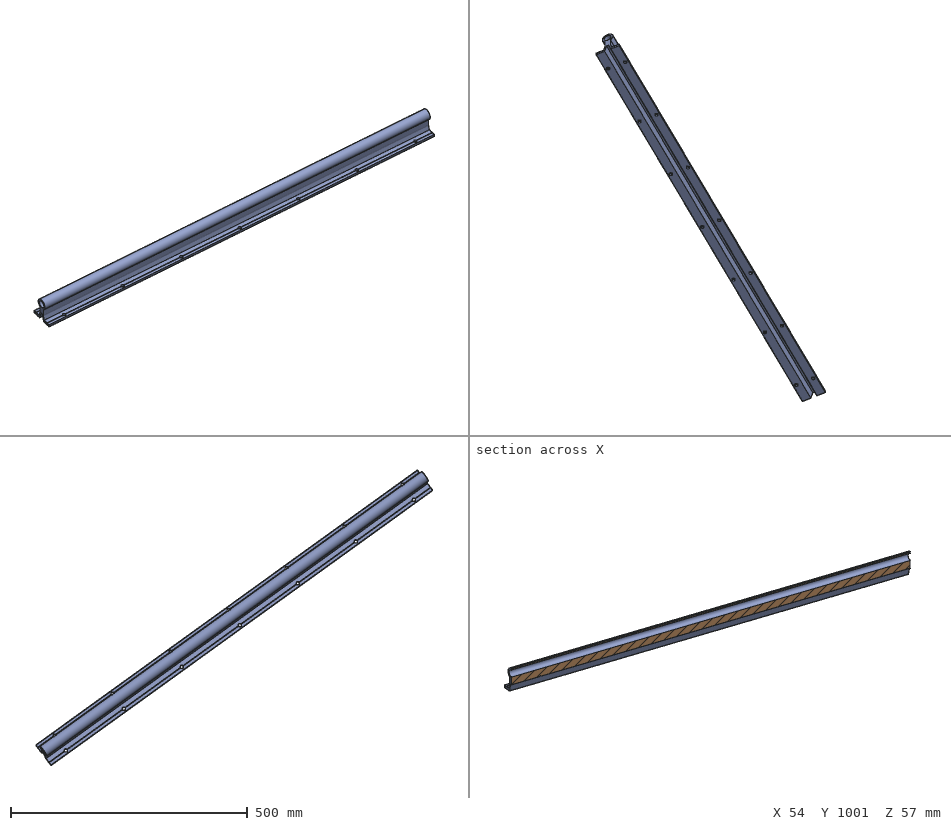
import cadquery as cq

length = 1001.0
width = 54.0
height = 57.0

shaft_diameter = 25.0
bore_diameter = 16.0
shaft_center_z = height - shaft_diameter / 2

web_half_width = 6.5
web_foot_half_width = 9.5
web_flare_z = 17.0
flange_thickness = 6.0
flange_groove_depth = 0.5
flange_groove_half_width = 0.5

slot_top_z = 17.0
slot_top_half_width = 2.5
slot_mouth_half_width = 7.0

hole_diameter = 7.0
hole_x = 20.0
hole_pitch = 152.0
hole_count = 7


def extrude_along_rail(sketch):
    """Extrude an XZ sketch over the full length, centred on Y."""
    return sketch.extrude(length / 2, both=True)


def mirrored_profile(right_side):
    """Close an outline from its right half, listed from bottom to top."""
    left_side = [(-x, z) for x, z in reversed(right_side)]
    return cq.Workplane("XZ").polyline(right_side + left_side).close()


def make_support():
    return extrude_along_rail(mirrored_profile([
        (width / 2, 0),
        (width / 2, flange_thickness),
        (hole_x + flange_groove_half_width, flange_thickness),
        (hole_x, flange_thickness - flange_groove_depth),
        (hole_x - flange_groove_half_width, flange_thickness),
        (web_foot_half_width, flange_thickness),
        (web_half_width, web_flare_z),
        (web_half_width, shaft_center_z),
    ]))


def make_slot():
    return extrude_along_rail(mirrored_profile([
        (slot_mouth_half_width, 0),
        (slot_top_half_width, slot_top_z),
    ]))


def make_round(diameter):
    return extrude_along_rail(cq.Workplane("XZ").center(0, shaft_center_z).circle(diameter / 2))


def make_mounting_holes():
    return (
        cq.Workplane("XY")
        .rarray(2 * hole_x, hole_pitch, 2, hole_count)
        .circle(hole_diameter / 2)
        .extrude(flange_thickness)
    )


body = make_support().union(make_round(shaft_diameter))
result = body.cut(make_round(bore_diameter)).cut(make_slot()).cut(make_mounting_holes())